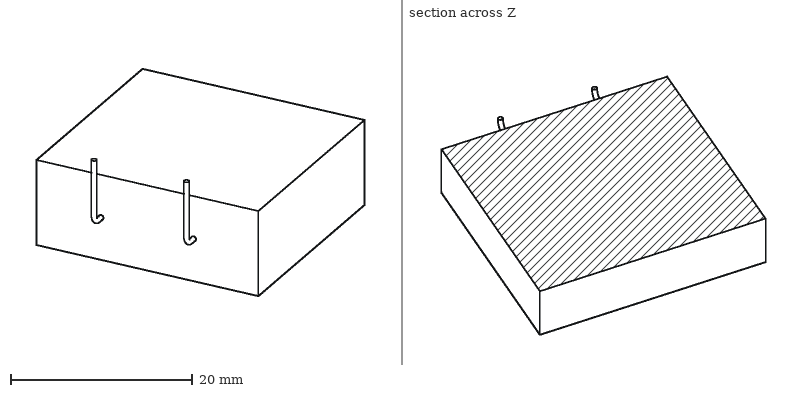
import cadquery as cq

body_width = 27.6
body_depth = 25.5
body_height = 10.5

overall_depth = 27.5
overall_height = 13.1
lead_diameter = 0.6
lead_pitch = 11.5
lead_bend_radius = 1.0
lead_exit_height = body_height / 2

lead_radius = lead_diameter / 2
lead_reach = overall_depth - body_depth - lead_radius
lead_straight = lead_reach - lead_bend_radius
lead_rise = overall_height - lead_exit_height - lead_bend_radius


def make_body():
    """Plain block with its front face on Y = 0 and its base on Z = 0."""
    return cq.Workplane("XY").box(body_width, body_depth, body_height, centered=(True, False, False))


def make_lead(x):
    """Round wire: a straight stub, a quarter bend and an upright leg."""
    stub = (
        cq.Workplane("XZ", origin=(x, 0, lead_exit_height))
        .circle(lead_radius)
        .extrude(lead_straight)
    )
    bend = (
        cq.Workplane("XZ", origin=(x, -lead_straight, lead_exit_height))
        .circle(lead_radius)
        .revolve(90, (1, lead_bend_radius), (0, lead_bend_radius))
    )
    leg = (
        cq.Workplane("XY", origin=(x, -lead_reach, lead_exit_height + lead_bend_radius))
        .circle(lead_radius)
        .extrude(lead_rise)
    )
    return stub.union(bend).union(leg)


result = make_body()
for side in (-1, 1):
    result = result.union(make_lead(side * lead_pitch / 2))